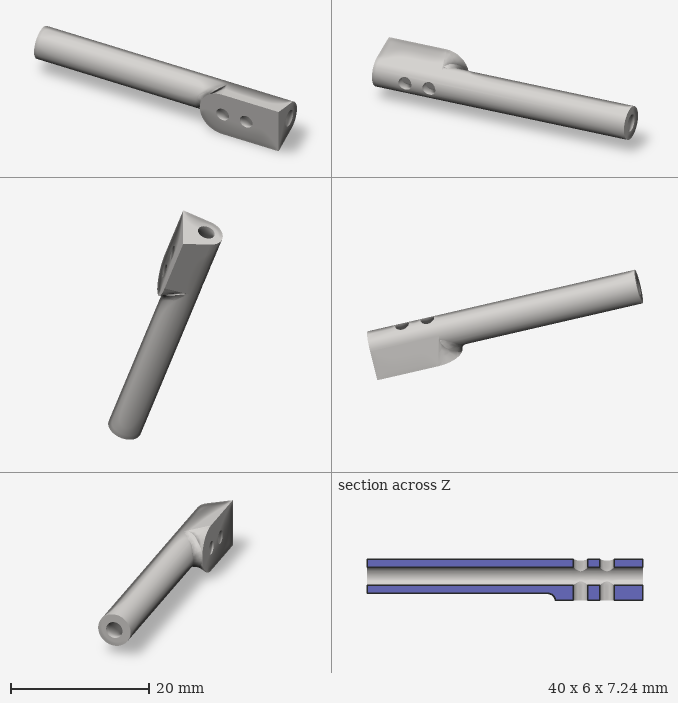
import cadquery as cq
import math

length = 40.0
tube_radius = 2.5
bore_diameter = 2.5

face_y = tube_radius - 6.0
flange_half_height = 3.62
nose_center_x = 30.9
hole_diameter = 2.05
hole_positions = (30.95, 34.75)

nose_top_x = 29.7
fillet_radius = -face_y - tube_radius
fillet_start_x = nose_center_x - flange_half_height - fillet_radius
rim_overlap = 11.5
fillet_end_angle = 75.0
fillet_sections = 5

corner_distance = math.hypot(face_y, flange_half_height)
tangent_angle = math.atan2(flange_half_height, face_y) - math.acos(tube_radius / corner_distance)
tangent_y = tube_radius * math.cos(tangent_angle)
tangent_z = tube_radius * math.sin(tangent_angle)


def rim_point(angle):
    """Point on the rounded rim of the flange face; zero is the nose tip."""
    turn = math.radians(angle)
    x = nose_center_x - flange_half_height * math.cos(turn)
    return cq.Vector(x, face_y, flange_half_height * math.sin(turn))


def side_point(side):
    """Front end of the tangent line on the upper (1) or lower (-1) side."""
    return cq.Vector(nose_top_x, tangent_y, side * tangent_z)


def rim_arc(start, end):
    return cq.Edge.makeThreePointArc(rim_point(start), rim_point((start + end) / 2), rim_point(end))


def planar_face(edges):
    return cq.Face.makeFromWires(cq.Wire.assembleEdges(edges))


def make_nose():
    """Two cones with their tips at the tangent points, sharing the rounded rim."""
    sides = (1, -1)
    spine = cq.Edge.makeLine(side_point(1), side_point(-1))
    back_edge = cq.Edge.makeLine(rim_point(90), rim_point(-90))
    tip_lines = [cq.Edge.makeLine(side_point(side), rim_point(0)) for side in sides]
    side_lines = [cq.Edge.makeLine(side_point(side), rim_point(side * 90)) for side in sides]
    rims = [rim_arc(0, side * 90) for side in sides]
    faces = [
        cq.Face.makeNSidedSurface(list(outline), [])
        for outline in zip(tip_lines, rims, side_lines)
    ]
    faces += [
        planar_face([spine] + tip_lines),
        planar_face([spine, side_lines[0], back_edge, side_lines[1]]),
        planar_face([back_edge] + rims),
    ]
    return cq.Solid.makeSolid(cq.Shell.makeShell(faces)).fix()


def tube_point(angle):
    """Point where the oblique upper end of the fillet meets the tube."""
    turn = math.radians(angle)
    y = -tube_radius * math.cos(turn)
    slope = (nose_top_x - fillet_start_x) / (tangent_y + tube_radius)
    return cq.Vector(nose_top_x - slope * (tangent_y - y), y, tube_radius * math.sin(turn))


def fillet_section(angle):
    """Triangle with one concave side, running from the tube to the nose."""
    side = math.copysign(1, angle)
    apex = side_point(side)
    along_nose = min(1, (90 - abs(angle)) / (90 - rim_overlap))
    nose_end = apex + (rim_point(angle) - apex) * along_nose
    tube_sweep = 180 - math.degrees(tangent_angle)
    tube_end = tube_point(angle / 90 * tube_sweep)
    inner = cq.Vector(nose_top_x, 0, nose_end.z / 2)

    chord = nose_end - tube_end
    middle = (tube_end + nose_end) / 2
    inward = inner - middle
    inward = (inward - chord * (inward.dot(chord) / chord.dot(chord))).normalized()
    quarter_sagitta = (math.sqrt(2) - 1) / 2
    sagitta = chord.Length * quarter_sagitta * (1 - abs(angle) / 90)
    return cq.Wire.assembleEdges([
        cq.Edge.makeThreePointArc(tube_end, middle + inward * sagitta, nose_end),
        cq.Edge.makeLine(nose_end, inner),
        cq.Edge.makeLine(inner, tube_end),
    ])


def make_fillet():
    step = fillet_end_angle / fillet_sections
    angles = [step * index for index in range(-fillet_sections, fillet_sections + 1)]
    return cq.Solid.makeLoft([fillet_section(angle) for angle in angles])


def make_flange():
    """Tapered flange, its front end sloping from the tube to the nose centre."""
    profile = (
        cq.Workplane("YZ")
        .polyline([
            (face_y, -flange_half_height), (tangent_y, -tangent_z),
            (tangent_y, tangent_z), (face_y, flange_half_height),
        ])
        .close()
        .extrude(length)
    )
    side_range = (
        cq.Workplane("XY")
        .polyline([
            (nose_center_x, face_y), (length, face_y),
            (length, tangent_y), (nose_top_x, tangent_y),
        ])
        .close()
        .extrude(flange_half_height, both=True)
    )
    return profile.intersect(side_range)


tube = cq.Workplane("YZ").circle(tube_radius).extrude(length)
body = make_flange().union(cq.Workplane(obj=make_nose())).union(tube)
body = body.union(cq.Workplane(obj=make_fillet()))

bore = cq.Workplane("YZ").circle(bore_diameter / 2).extrude(length)
cross_holes = (
    cq.Workplane("XZ")
    .pushPoints([(x, 0) for x in hole_positions])
    .circle(hole_diameter / 2)
    .extrude(length, both=True)
)
result = body.cut(bore).cut(cross_holes)